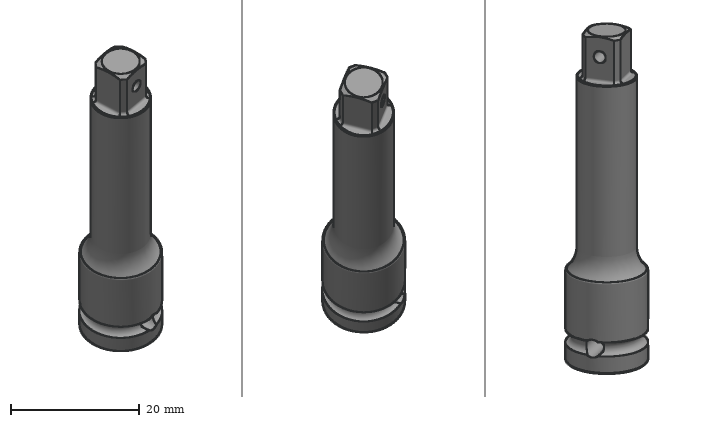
import cadquery as cq
import math

total_length = 55.0
body_radius = 6.5
shaft_radius = 4.75
shoulder_z = 47.45
base_chamfer = 0.3
shoulder_chamfer = 0.15

flare_top_z = 18.9
flare_bottom_z = 15.3
flare_radius = 5.1
flare_edge_z = 14.95

groove_z = 4.2
groove_radius = 1.15
pin_hole_diameter = 2.95

drive_width = 6.3
drive_corner_chamfer = 0.75
drive_cove = 0.45
drive_top_radius = 2.95
drive_edge_radius = 3.95
drive_top_drop = 0.4
ball_hole_diameter = 2.0
ball_hole_z = 51.6

hole_overrun = 0.55


def make_body():
    """Revolve the stepped body with its flare and half-round groove."""
    flare_drop = flare_top_z - flare_bottom_z
    flare_center_r = shaft_radius + flare_radius
    flare_end_r = flare_center_r - math.sqrt(flare_radius**2 - flare_drop**2)
    half_angle = math.asin(flare_drop / flare_radius) / 2
    flare_mid = (
        flare_center_r - flare_radius * math.cos(half_angle),
        flare_top_z - flare_radius * math.sin(half_angle),
    )
    return (
        cq.Workplane("XZ")
        .lineTo(body_radius - base_chamfer, 0)
        .lineTo(body_radius, base_chamfer)
        .lineTo(body_radius, groove_z - groove_radius)
        .threePointArc((body_radius - groove_radius, groove_z), (body_radius, groove_z + groove_radius))
        .lineTo(body_radius, flare_edge_z)
        .tangentArcPoint((flare_end_r, flare_bottom_z), relative=False)
        .threePointArc(flare_mid, (shaft_radius, flare_top_z))
        .lineTo(shaft_radius, shoulder_z - shoulder_chamfer)
        .lineTo(shaft_radius - shoulder_chamfer, shoulder_z)
        .lineTo(0, shoulder_z)
        .close()
        .revolve(360, (0, 0), (0, 1))
    )


def make_drive():
    """Square drive with flattened corners and a shallow conical top."""
    square = (
        cq.Workplane("XY", origin=(0, 0, shoulder_z))
        .rect(drive_width, drive_width)
        .extrude(total_length - shoulder_z)
        .edges("|Z")
        .chamfer(drive_corner_chamfer)
    )
    cone_slope = drive_top_drop / (drive_edge_radius - drive_top_radius)
    envelope_radius = drive_width
    cone_bottom_z = total_length - cone_slope * (envelope_radius - drive_top_radius)
    envelope = (
        cq.Workplane("XZ")
        .moveTo(0, shoulder_z)
        .lineTo(envelope_radius, shoulder_z)
        .lineTo(envelope_radius, cone_bottom_z)
        .lineTo(drive_top_radius, total_length)
        .lineTo(0, total_length)
        .close()
        .revolve(360, (0, shoulder_z), (0, shoulder_z + 0.55))
    )
    return square.intersect(envelope)


def cross_hole(diameter, z):
    """Cylinder along X passing through the whole part."""
    return (
        cq.Workplane("YZ", origin=(0, 0, z))
        .circle(diameter / 2)
        .extrude(body_radius + hole_overrun, both=True)
    )


def add_drive_cove(part):
    """Blend the foot of the drive into the shoulder."""
    edge_margin = 0.05
    reach = drive_width / 2 + edge_margin
    foot = cq.selectors.BoxSelector(
        (-reach, -reach, shoulder_z - edge_margin), (reach, reach, shoulder_z + edge_margin)
    )
    return part.edges("%LINE").edges(foot).fillet(drive_cove)


result = add_drive_cove(make_body().union(make_drive()))
result = result.cut(cross_hole(pin_hole_diameter, groove_z))
result = result.cut(cross_hole(ball_hole_diameter, ball_hole_z))